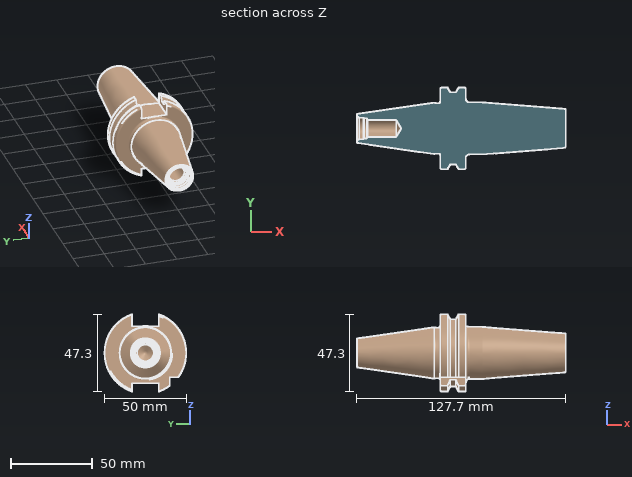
import cadquery as cq
import math


GAUGE_RADIUS = 31.75 / 2
TAPER_SLOPE = 7 / 48
TAPER_LENGTH = 47.65
TAPER_END_CHAMFER = 0.4

TAPER_LARGE_END = -0.5
NECK_START = 0.7
NECK_RADIUS = 15.5
NECK_FILLET = 1.0

FLANGE_RADIUS = 25.0
FLANGE_START = 3.2
FLANGE_END = 19.0
FLANGE_EDGE_RADIUS = 1.0
GROOVE_CENTRE = 11.1
GROOVE_RADIUS = 22.15
GROOVE_FLOOR_WIDTH = 3.4
GROOVE_HALF_ANGLE = 30

SLOT_WIDTH = 16.15
TOP_SLOT_FLOOR = 16.4
BOTTOM_SLOT_FLOOR = 18.6
NOTCH_OFFSET = 15.0

BODY_RADIUS = 16.0
BODY_FILLET = 2.0
NOSE_TAPER_START = 29.0
NOSE_END = 80.0
NOSE_ANGLE = 4.5
NOSE_EDGE_RADIUS = 1.0

MOUTH_RADIUS = 7.7
MOUTH_CONE_ANGLE = 120
CENTRE_CONE_RADIUS = 7.2
CENTRE_CONE_ANGLE = 60
PILOT_RADIUS = 6.5
PILOT_DEPTH = 4.0
PILOT_FLOOR_ANGLE = 90
THREAD_MOUTH_RADIUS = 6.1
THREAD_MOUTH_DEPTH = 6.0
THREAD_MOUTH_ANGLE = 120
THREAD_CORE_RADIUS = 5.1
THREAD_DEPTH = 24.0
DRILL_TIP_ANGLE = 118


def revolve_about_axis(profile):
    return profile.close().revolve(360, (0, 0, 0), (1, 0, 0))


def taper_radius(x):
    return GAUGE_RADIUS + TAPER_SLOPE * x


def cone_length(large_radius, small_radius, included_angle):
    return (large_radius - small_radius) / math.tan(math.radians(included_angle / 2))


def make_taper():
    large_radius = taper_radius(TAPER_LARGE_END)
    end_radius = taper_radius(-TAPER_LENGTH)
    chamfer_end = -TAPER_LENGTH + TAPER_END_CHAMFER
    profile = (
        cq.Workplane("XY")
        .moveTo(-TAPER_LENGTH, 0)
        .lineTo(-TAPER_LENGTH, end_radius - TAPER_END_CHAMFER)
        .lineTo(chamfer_end, taper_radius(chamfer_end))
        .lineTo(TAPER_LARGE_END, large_radius)
        .lineTo(NECK_START, NECK_RADIUS)
        .lineTo(FLANGE_START - NECK_FILLET, NECK_RADIUS)
        .radiusArc((FLANGE_START, NECK_RADIUS + NECK_FILLET), -NECK_FILLET)
        .lineTo(FLANGE_START, 0)
    )
    return revolve_about_axis(profile)


def make_flange():
    groove_depth = FLANGE_RADIUS - GROOVE_RADIUS
    floor_half = GROOVE_FLOOR_WIDTH / 2
    mouth_half = floor_half + groove_depth * math.tan(math.radians(GROOVE_HALF_ANGLE))
    profile = (
        cq.Workplane("XZ")
        .moveTo(FLANGE_START, 0)
        .lineTo(FLANGE_START, FLANGE_RADIUS - FLANGE_EDGE_RADIUS)
        .radiusArc((FLANGE_START + FLANGE_EDGE_RADIUS, FLANGE_RADIUS), FLANGE_EDGE_RADIUS)
        .lineTo(GROOVE_CENTRE - mouth_half, FLANGE_RADIUS)
        .lineTo(GROOVE_CENTRE - floor_half, GROOVE_RADIUS)
        .lineTo(GROOVE_CENTRE + floor_half, GROOVE_RADIUS)
        .lineTo(GROOVE_CENTRE + mouth_half, FLANGE_RADIUS)
        .lineTo(FLANGE_END - FLANGE_EDGE_RADIUS, FLANGE_RADIUS)
        .radiusArc((FLANGE_END, FLANGE_RADIUS - FLANGE_EDGE_RADIUS), FLANGE_EDGE_RADIUS)
        .lineTo(FLANGE_END, 0)
    )
    return revolve_about_axis(profile)


def make_body():
    nose_radius = BODY_RADIUS - (NOSE_END - NOSE_TAPER_START) * math.tan(math.radians(NOSE_ANGLE))
    profile = (
        cq.Workplane("XY")
        .moveTo(FLANGE_END, 0)
        .lineTo(FLANGE_END, BODY_RADIUS + BODY_FILLET)
        .radiusArc((FLANGE_END + BODY_FILLET, BODY_RADIUS), -BODY_FILLET)
        .lineTo(NOSE_TAPER_START, BODY_RADIUS)
        .lineTo(NOSE_END, nose_radius)
        .lineTo(NOSE_END, 0)
    )
    return revolve_about_axis(profile).faces(">X").edges().fillet(NOSE_EDGE_RADIUS)


def make_bore():
    mouth_depth = cone_length(MOUTH_RADIUS, CENTRE_CONE_RADIUS, MOUTH_CONE_ANGLE)
    centre_depth = mouth_depth + cone_length(CENTRE_CONE_RADIUS, PILOT_RADIUS, CENTRE_CONE_ANGLE)
    pilot_floor_end = PILOT_DEPTH + cone_length(PILOT_RADIUS, THREAD_MOUTH_RADIUS, PILOT_FLOOR_ANGLE)
    thread_start = THREAD_MOUTH_DEPTH + cone_length(
        THREAD_MOUTH_RADIUS, THREAD_CORE_RADIUS, THREAD_MOUTH_ANGLE
    )
    tip_depth = THREAD_DEPTH + cone_length(THREAD_CORE_RADIUS, 0, DRILL_TIP_ANGLE)
    profile = (
        cq.Workplane("XY", origin=(-TAPER_LENGTH, 0, 0))
        .lineTo(0, MOUTH_RADIUS)
        .lineTo(mouth_depth, CENTRE_CONE_RADIUS)
        .lineTo(centre_depth, PILOT_RADIUS)
        .lineTo(PILOT_DEPTH, PILOT_RADIUS)
        .lineTo(pilot_floor_end, THREAD_MOUTH_RADIUS)
        .lineTo(THREAD_MOUTH_DEPTH, THREAD_MOUTH_RADIUS)
        .lineTo(thread_start, THREAD_CORE_RADIUS)
        .lineTo(THREAD_DEPTH, THREAD_CORE_RADIUS)
        .lineTo(tip_depth, 0)
    )
    return revolve_about_axis(profile)


def flange_cutter(y_min, y_max, z_min, z_max):
    length = FLANGE_END + BODY_FILLET - FLANGE_START
    block = cq.Workplane("XY").box(length, y_max - y_min, z_max - z_min, centered=False)
    return block.translate((FLANGE_START, y_min, z_min))


def cut_flange_recesses(holder):
    half_slot = SLOT_WIDTH / 2
    top_slot = flange_cutter(-half_slot, half_slot, TOP_SLOT_FLOOR, FLANGE_RADIUS)
    bottom_slot = flange_cutter(-half_slot, half_slot, -FLANGE_RADIUS, -BOTTOM_SLOT_FLOOR)
    notch = flange_cutter(-FLANGE_RADIUS, -NOTCH_OFFSET, -FLANGE_RADIUS, -NOTCH_OFFSET)
    return holder.cut(top_slot).cut(bottom_slot).cut(notch)


holder = make_taper().union(make_flange()).union(make_body())
result = cut_flange_recesses(holder).cut(make_bore())